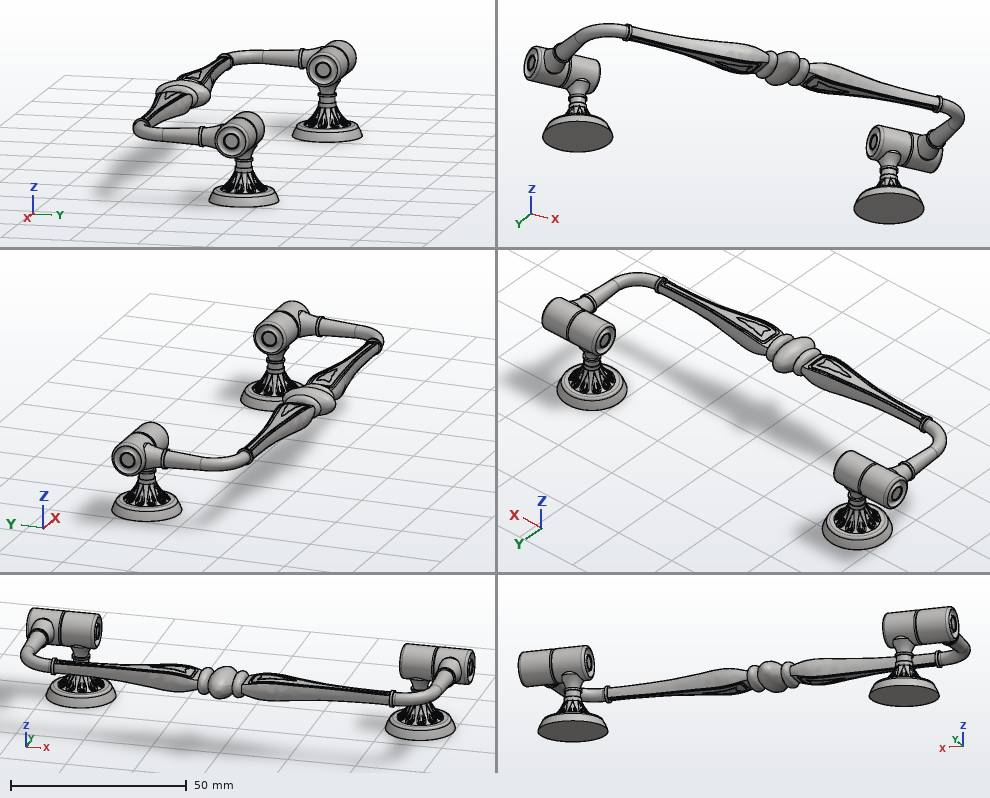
import cadquery as cq
import math

hinge_z = 20.0
post_x = -50.0
arm_x = -60.0
grip_y = -30.0

barrel_radius = 5.0
joint_x = (post_x + arm_x) / 2
barrel_length = 10.0
end_fillet = 0.8
joint_chamfer = 0.35
pin_radius = 2.0
pin_recess = 0.3
cove_outer_radius = barrel_radius - end_fillet
cove_radius = 0.95
cove_center_radius = cove_outer_radius - cove_radius

base_radius = 10.0
base_step_radius = 8.8
base_step_z = 2.6
base_top_z = 3.3
base_rim_radius = 7.9
base_bulge = 0.15
cone_foot_radius = 6.6
cone_top_radius = 2.2
cone_top_z = 9.0
cone_waist_share = 0.31
neck_radius = 2.2
post_bottom_z = 11.7
post_collar_thickness = 0.6
post_collar_radius = 2.6
post_neck_radius = 2.0
post_flare_radius = 3.8
relief = 0.3
band_bottom_z = 8.5
band_top_z = 9.8

petal_count = 10
petal_tip_radius = 6.7
petal_root_radius = 2.6
petal_half_width = 1.3
petal_rim = 0.45
petal_leaf_half_width = 0.45

arm_flare_radius = 3.8
arm_neck_radius = 2.5
arm_collar_y = -9.8
arm_collar_radius = 2.9
arm_collar_thickness = 0.8
bend_radius = 9.0
arm_tip_radius = 1.9
flare_start = 4.0
flare_waist_share = 0.3
bend_start_y = grip_y + bend_radius
grip_collar_x = -49.9
grip_collar_radius = 2.4

grip_start_x = grip_collar_x
grip_end_x = -5.0
grip_stations = [
    (grip_start_x, 1.9, 1.7),
    (-46, 1.7, 1.65),
    (-42, 1.65, 1.75),
    (-34, 1.85, 2.0),
    (-27, 2.6, 2.25),
    (-20, 3.85, 2.75),
    (-15, 4.75, 3.05),
    (-11.5, 5.1, 2.8),
    (-8.5, 4.9, 2.1),
    (grip_end_x, 3.7, 1.7),
]
widest_half = max(half_width for x, half_width, half_height in grip_stations)
corner_width_share = 0.86
corner_height_share = 0.86
groove_floor_share = 0.86
leaf_relief = 0.15
groove_outer_share = 0.74
groove_start_x = -49.0
groove_end_x = -8.2
groove_width = 0.65
groove_corner_radius = 1.0

leaf_tip_x = -21.5
leaf_end_x = -10.5
leaf_half_width = 1.9
leaf_notch = 0.8
leaf_scallops = 3
leaf_bulge = 0.25

knob_radius = 4.05
knob_half_width = 8.0
bead_x = -5.1
bead_round = 1.6
bead_half_height = 3.6
bead_half_width = 5.5


def mirrored(body):
    """The matching body of the right half."""
    return body.mirror("YZ")


def revolve_about_post(profile):
    return profile.close().revolve(360, (0, 0, 0), (0, 1, 0))


def hinge_barrel(outward):
    """Barrel half on the outward (+1 or -1) side of the joint, with a rounded rim and an annular cove."""
    barrel = cq.Workplane("YZ").circle(barrel_radius).extrude(barrel_length)
    barrel = barrel.faces(">X").edges().fillet(end_fillet)
    barrel = barrel.faces("<X").edges().chamfer(joint_chamfer)
    cove = (
        cq.Workplane("XY")
        .center(barrel_length, cove_center_radius)
        .circle(cove_radius)
        .revolve(360, (-barrel_length, -cove_center_radius, 0), (0, -cove_center_radius, 0))
    )
    barrel = barrel.cut(cove)
    if outward < 0:
        barrel = barrel.mirror("YZ")
    return barrel.translate((joint_x, 0, hinge_z))


def pin_cylinder(recess):
    """Hinge pin, or its hole when the recess is zero."""
    length = 2 * (barrel_length - recess)
    return (
        cq.Workplane("YZ", origin=(joint_x - length / 2, 0, hinge_z))
        .circle(pin_radius)
        .extrude(length)
    )


def cone_solid(offset):
    """Concave cone of the rosette, grown outward by the offset."""
    foot = cone_foot_radius + offset
    top = cone_top_radius + offset
    middle_radius = cone_top_radius + cone_waist_share * (cone_foot_radius - cone_top_radius) + offset
    middle_z = (base_top_z + cone_top_z) / 2 + offset / 2
    profile = (
        cq.Workplane("XZ")
        .moveTo(0, base_top_z)
        .lineTo(foot, base_top_z)
        .threePointArc((middle_radius, middle_z), (top, cone_top_z))
        .lineTo(0, cone_top_z)
    )
    return revolve_about_post(profile)


def petal_prism(root, tip, half_width):
    """Upright teardrop prism, pointed at the root and round at the tip."""
    round_x = tip - half_width
    slope = math.asin(half_width / (round_x - root))
    tangent_x = round_x - half_width * math.sin(slope)
    tangent_y = half_width * math.cos(slope)
    return (
        cq.Workplane("XY")
        .moveTo(root, 0)
        .lineTo(tangent_x, -tangent_y)
        .threePointArc((tip, 0), (tangent_x, tangent_y))
        .close()
        .extrude(cone_top_z)
    )


def petal():
    """Open petal loop with a small leaf inside it, standing on the cone."""
    loop = petal_prism(petal_root_radius, petal_tip_radius, petal_half_width)
    opening = petal_prism(petal_root_radius + 3 * petal_rim, petal_tip_radius - petal_rim,
                          petal_half_width - petal_rim)
    leaf = petal_prism(petal_root_radius, petal_tip_radius - 2 * petal_rim, petal_leaf_half_width)
    return loop.cut(opening).union(leaf).intersect(cone_solid(relief))


def rosette():
    """Round base with the decorated cone and a plain neck."""
    bulge_radius = (base_radius + base_step_radius) / 2 + base_bulge
    step_middle = (
        base_rim_radius + (base_step_radius - base_rim_radius) * math.cos(math.pi / 4),
        base_step_z + (base_top_z - base_step_z) * math.sin(math.pi / 4),
    )
    flange = (
        cq.Workplane("XZ")
        .lineTo(base_radius, 0)
        .threePointArc((bulge_radius, base_step_z / 2), (base_step_radius, base_step_z))
        .threePointArc(step_middle, (base_rim_radius, base_top_z))
        .lineTo(0, base_top_z)
    )
    body = revolve_about_post(flange).union(cone_solid(0))
    body = body.union(cq.Workplane("XY").circle(neck_radius).extrude(post_bottom_z))
    band = (
        cq.Workplane("XY", origin=(0, 0, band_bottom_z))
        .circle(neck_radius + relief)
        .extrude(band_top_z - band_bottom_z)
    )
    body = body.union(band)
    one_petal = petal()
    for index in range(petal_count):
        body = body.union(one_petal.rotate((0, 0, 0), (0, 0, 1), index * 360 / petal_count))
    return body.translate((post_x, 0, 0))


def flare(start_radius, end_radius, length):
    """Concave neck along -Y that starts inside the barrel and narrows away from it."""
    middle = (end_radius + flare_waist_share * (start_radius - end_radius), -(flare_start + length) / 2)
    return (
        cq.Workplane("XY")
        .lineTo(start_radius, 0)
        .lineTo(start_radius, -flare_start)
        .threePointArc(middle, (end_radius, -length))
        .lineTo(0, -length)
        .close()
        .revolve(360, (0, 0, 0), (0, 1, 0))
    )


def post():
    """Inner barrel half with its flared neck and the collar resting on the rosette."""
    length = hinge_z - post_bottom_z - post_collar_thickness
    neck = flare(post_flare_radius, post_neck_radius, length)
    neck = neck.rotate((0, 0, 0), (1, 0, 0), 90).translate((post_x, 0, hinge_z))
    collar = (
        cq.Workplane("XY", origin=(post_x, 0, post_bottom_z))
        .circle(post_collar_radius)
        .extrude(post_collar_thickness)
    )
    return hinge_barrel(1).union(neck).union(collar).cut(pin_cylinder(0))


def arm():
    """Outer barrel half, flared neck, tapered leg and quarter bend, with a collar at each end."""
    neck = flare(arm_flare_radius, arm_neck_radius, -arm_collar_y).translate((arm_x, 0, hinge_z))
    leg = (
        cq.Workplane("XY")
        .moveTo(0, arm_collar_y)
        .lineTo(arm_neck_radius, arm_collar_y)
        .spline([(arm_tip_radius, bend_start_y)], tangents=[(0, -1), (0, -1)], includeCurrent=True)
        .lineTo(0, bend_start_y)
        .close()
        .revolve(360, (0, 0, 0), (0, 1, 0))
        .translate((arm_x, 0, hinge_z))
    )
    bend = (
        cq.Workplane("XZ", origin=(arm_x, bend_start_y, hinge_z))
        .circle(arm_tip_radius)
        .revolve(90, (bend_radius, 0, 0), (bend_radius, 1, 0))
    )
    tip = (
        cq.Workplane("YZ", origin=(arm_x + bend_radius, grip_y, hinge_z))
        .circle(arm_tip_radius)
        .extrude(grip_collar_x - arm_x - bend_radius)
    )
    leg_collar = (
        cq.Workplane("XZ", origin=(arm_x, arm_collar_y, hinge_z))
        .circle(arm_collar_radius)
        .extrude(arm_collar_thickness / 2, both=True)
    )
    grip_collar = (
        cq.Workplane("YZ", origin=(grip_collar_x, grip_y, hinge_z))
        .circle(grip_collar_radius)
        .extrude(arm_collar_thickness / 2, both=True)
    )
    body = hinge_barrel(-1).union(neck).union(leg).union(bend).union(tip)
    return body.union(leg_collar).union(grip_collar).cut(pin_cylinder(0))


def grip_loft():
    """Bar lofted through crowned four-sided sections."""
    sections = []
    for x, half_width, half_height in grip_stations:
        corner_y = corner_width_share * half_width
        corner_z = corner_height_share * half_height
        section = (
            cq.Workplane("YZ", origin=(x, 0, 0))
            .moveTo(-corner_y, corner_z)
            .threePointArc((0, half_height), (corner_y, corner_z))
            .threePointArc((half_width, 0), (corner_y, -corner_z))
            .threePointArc((0, -half_height), (-corner_y, -corner_z))
            .threePointArc((-half_width, 0), (-corner_y, corner_z))
            .close()
        )
        sections.append(section.val())
    return cq.Workplane(cq.Solid.makeLoft(sections))


def symmetric_prism(plane, upper, depth):
    """Prism centred on the plane, with two mirrored smooth sides through the upper points."""
    lower = [(x, -half) for x, half in reversed(upper)]
    return (
        cq.Workplane(plane)
        .workplane(offset=-depth / 2)
        .moveTo(*upper[0])
        .spline(upper[1:], includeCurrent=True)
        .lineTo(*lower[0])
        .spline(lower[1:], includeCurrent=True)
        .close()
        .extrude(depth)
    )


def width_prism(share, inset):
    """Upright prism whose sides follow a share of the grip's width, moved inward by the inset."""
    upper = [(x, share * half_width - inset) for x, half_width, half_height in grip_stations]
    return symmetric_prism("XY", upper, 2 * knob_radius)


def height_prism(share, growth):
    """Prism along Y whose top and bottom follow a share of the grip's height plus the growth."""
    upper = [(x, share * half_height + growth) for x, half_width, half_height in grip_stations]
    return symmetric_prism("XZ", upper, 2 * knob_half_width)


def panel_prism(margin):
    """Panel inside the grip outline with round corners at the knob end."""
    start = groove_start_x + margin
    end = groove_end_x - margin
    window = (
        cq.Workplane("XY")
        .box(end - start, 2 * (groove_outer_share * widest_half - margin), 2 * knob_radius)
        .edges("|Z")
        .fillet(groove_corner_radius)
        .translate(((start + end) / 2, 0, 0))
    )
    return width_prism(groove_outer_share, margin).intersect(window)


def leaf_prism():
    """Pointed leaf with scalloped sides and a notched end."""
    step_x = (leaf_end_x - leaf_tip_x) / leaf_scallops
    step_y = leaf_half_width / leaf_scallops
    leaf = cq.Workplane("XY").moveTo(leaf_tip_x, 0)
    for side in (1, -1):
        for index in range(leaf_scallops):
            near = index if side > 0 else leaf_scallops - index
            far = near + side
            middle = (leaf_tip_x + (near + far) / 2 * step_x,
                      side * ((near + far) / 2 * step_y + leaf_bulge))
            leaf = leaf.threePointArc(middle, (leaf_tip_x + far * step_x, side * far * step_y))
        if side > 0:
            leaf = leaf.lineTo(leaf_end_x - leaf_notch, 0).lineTo(leaf_end_x, -leaf_half_width)
    return leaf.close().extrude(knob_radius, both=True)


def grip_half():
    """Left half of the grip bar with a grooved frame and a raised leaf on top and bottom."""
    bar = grip_loft()
    groove = panel_prism(0).cut(panel_prism(groove_width))
    bar = bar.cut(groove.cut(height_prism(groove_floor_share, 0)))
    bar = bar.union(leaf_prism().intersect(height_prism(1, leaf_relief)))
    return bar.translate((0, grip_y, hinge_z))


def stretched_in_y(body, factor):
    matrix = cq.Matrix([[1, 0, 0, 0], [0, factor, 0, 0], [0, 0, 1, 0]])
    return cq.Workplane(body.val().transformGeometry(matrix)).translate((0, grip_y, hinge_z))


def knob():
    return stretched_in_y(cq.Workplane("XY").sphere(knob_radius), knob_half_width / knob_radius)


def bead():
    """Flattened ring beside the knob, round at its rim."""
    rim = bead_half_height - bead_round
    disc = (
        cq.Workplane("XY")
        .moveTo(bead_x - bead_round, 0)
        .lineTo(bead_x - bead_round, rim)
        .threePointArc((bead_x, bead_half_height), (bead_x + bead_round, rim))
        .lineTo(bead_x + bead_round, 0)
        .close()
        .revolve(360, (0, 0, 0), (1, 0, 0))
    )
    return stretched_in_y(disc, bead_half_width / bead_half_height)


def handle():
    half = arm().union(grip_half()).union(bead())
    return half.union(knob()).union(mirrored(half))


handle_body = handle()
left_bodies = [post(), rosette(), pin_cylinder(pin_recess)]
solids = [handle_body.solids().val()]
for left_body in left_bodies:
    solids.append(left_body.solids().val())
    solids.append(mirrored(left_body).solids().val())

result = cq.Compound.makeCompound(solids)